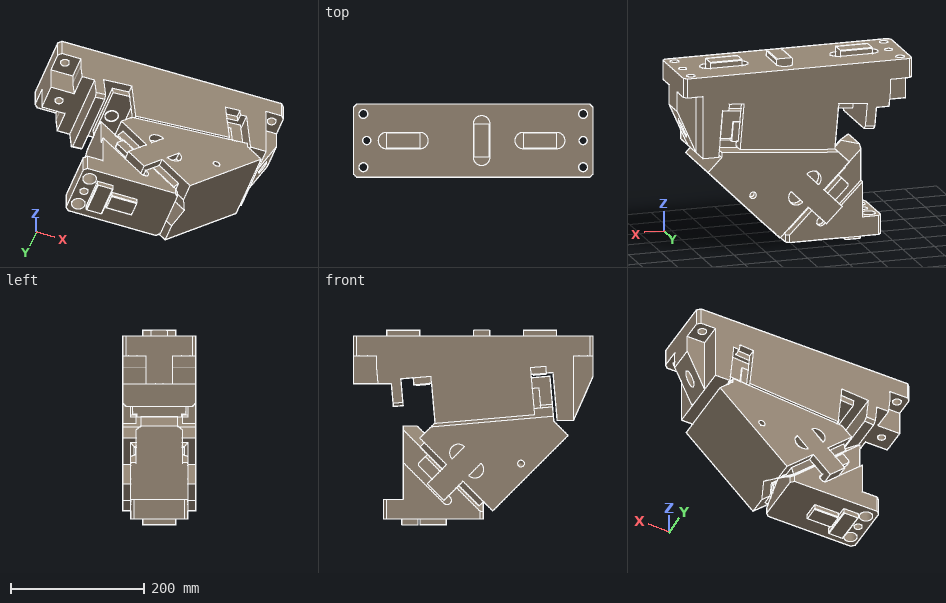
import cadquery as cq
import math


LENGTH = 360.0
WIDTH = 110.0
HALF_WIDTH = WIDTH / 2
KEY_RISE = 9.0
CORNER_CHAMFER = 5.0

HOLDER_TOP = 284.0
PLATE_THICKNESS = 30.0
PLATE_BOTTOM = HOLDER_TOP - PLATE_THICKNESS
BLOCK_LEFT = 35.0
BLOCK_BOTTOM = 212.0
BLOCK_RIGHT = 330.5
RIGHT_LEG_BOTTOM = 157.0
RIB_WIDTH = 40.5
GUSSET_SHOULDER = 223.5

TILT = math.radians(5)
FLANK_U = 55.5
HOOK_U = (75.2, 90.5)
SKIN_U = (135.5, 285.5)
CORE_U = (108.7, 308.5)
RIGHT_LEG_U = 318.2
HOOK_BOTTOM_V = 172.0
LIP_BOTTOM_V = 141.5
LIP_TOP_V = 151.0
SLOT_CEILING_V = 202.0
POCKET_CEILING_V = 212.5
SLOT_WIDTH = 85.5
LIP_OPENING = 69.0
GIB_U = (176.5, 295.5)
GIB_TOP_V = 181.0
PAD_DIAMETER = 20.0
PAD_THICKNESS = 1.5
PAD_U = (122.0, 298.8)

HEAD_U = (143.3, 313.5)
HEAD_TOP_V = 197.3
WING_BOTTOM_V = 154.8
SLIDE_TOP_V = 136.8
HEAD_WIDTH = 80.0
HEAD_STEP_WIDTH = 67.0
NECK_WIDTH = 55.5

HALF_ROOT = math.sqrt(0.5)
GROOVE_RISE = (119.5, 132.5)
EAVES_RISE = 149.5
RIDGE_RISE = 173.0
ROOF_HALF_ANGLE = math.radians(60)
ROOF_SLOPE = math.tan(ROOF_HALF_ANGLE)
RAIL_WIDTH = 85.5
RAIL_WEB_WIDTH = 69.0
WING_START_RUN = 3.5
WING_CORNER_CUT = 2.0
GROOVE_END_RUN = 73.0
SLIDE_BOTTOM_RISE = 163.0
SLIDE_NOSE_RISE = 323.3
SLIDE_RUN = (-22.0, 133.0)
RUNNER_RUN = (-12.2, 113.0)
RUNNER_INNER_Y = 6.0
RUNNER_CHAMFER = 1.5
CHANNEL_CLEARANCE = 3.5
ARM_RUN = (34.5, 70.0)
ARM_BOTTOM_RISE = 122.5
RECESS_RADIUS = 13.0
RECESS_DEPTH = 12.0
RECESS_RISE = 188.3
SIDE_HOLE_X = 251.5
SIDE_HOLE_Z = 92.5
SIDE_HOLE_DIAMETER = 10.0
SIDE_HOLE_DEPTH = 10.0
DRILL_TIP_SLOPE = math.radians(31)

BASE_X = (45.0, 195.0)
COLUMN_LEFT = 75.0
BASE_BOTTOM = KEY_RISE
FOOT_TOP = 39.0
COLUMN_TOP = 149.0
FOOT_HOLE_DIAMETER = 20.0
FOOT_HOLE_SPACING = 50.5

KEY_LENGTH = 50.0
KEY_WIDTH = 25.0
KEY_CHAMFER = 1.0
KEY_SLOT_LENGTH = 75.0
KEY_SLOT_DEPTH = 6.0
TOP_KEYS = ((75.0, 0), (192.5, 90), (280.0, 0))
CROSS_KEY_X = 85.0
LONG_KEY_X = 120.0
LONG_KEY_LENGTH = 40.0
BOLT_DIAMETER = 13.0
DOWEL_DIAMETER = 12.0
BOLT_INSET = 15.0
BOLT_SPACING = 80.0
LEFT_DOWEL_X = 20.0


LEVEL = cq.Plane(origin=(0, 0, 0), xDir=(1, 0, 0), normal=(0, -1, 0))
TILTED = cq.Plane(
    origin=(0, 0, 0),
    xDir=(math.cos(TILT), 0, math.sin(TILT)),
    normal=(0, -1, 0),
)
RAIL = cq.Plane(origin=(0, 0, 0), xDir=(HALF_ROOT, 0, -HALF_ROOT), normal=(0, -1, 0))


def tilted_point(u, v):
    """(x, z) of a point given in the tilted directions."""
    x = u * math.cos(TILT) - v * math.sin(TILT)
    z = u * math.sin(TILT) + v * math.cos(TILT)
    return (x, z)


def rail_point(run, rise):
    """(x, z) of a point given in the rail directions."""
    return ((run + rise) * HALF_ROOT, (rise - run) * HALF_ROOT)


def tilted_face_at_height(u, z):
    """Point at height z on the steep tilted face at distance u."""
    return ((u - z * math.sin(TILT)) / math.cos(TILT), z)


def tilted_face_at_x(u, x):
    """Point at position x on the steep tilted face at distance u."""
    return (x, (u - x * math.cos(TILT)) / math.sin(TILT))


def symmetric_prism(plane, points, width):
    """Prism of the given outline, centred on Y = 0."""
    return cq.Workplane(plane).polyline(points).close().extrude(width / 2, both=True)


def symmetric_bar(plane, along, across, width):
    """Bar spanning two (start, end) ranges in a plane, centred on Y = 0."""
    (a0, a1), (b0, b1) = along, across
    return symmetric_prism(plane, [(a0, b0), (a1, b0), (a1, b1), (a0, b1)], width)


def side_prism(plane, points, inner, outer):
    """Mirrored pair of prisms between the distances inner and outer from Y = 0."""
    one = cq.Workplane(plane).workplane(offset=inner).polyline(points).close().extrude(outer - inner)
    return one.union(one.mirror("XZ"))


def side_bar(plane, along, across, inner, outer):
    """Mirrored pair of bars spanning two (start, end) ranges in a plane."""
    (a0, a1), (b0, b1) = along, across
    return side_prism(plane, [(a0, b0), (a1, b0), (a1, b1), (a0, b1)], inner, outer)


def key(length, height):
    """Key standing on Z = 0 along X, with its long top edges chamfered."""
    block = cq.Workplane("XY").box(length, KEY_WIDTH, height, centered=(True, True, False))
    return block.faces(">Z").edges("|X").chamfer(KEY_CHAMFER)


def holder_plate():
    plate = cq.Workplane("XY").box(LENGTH, WIDTH, PLATE_THICKNESS, centered=(False, True, False))
    return plate.edges("|Z").chamfer(CORNER_CHAMFER).translate((0, 0, PLATE_BOTTOM))


def holder_block():
    outline = [
        (BLOCK_LEFT, PLATE_BOTTOM),
        tilted_face_at_x(FLANK_U, BLOCK_LEFT),
        tilted_face_at_height(FLANK_U, BLOCK_BOTTOM),
        tilted_face_at_height(HOOK_U[1], BLOCK_BOTTOM),
        tilted_point(HOOK_U[1], POCKET_CEILING_V),
        tilted_point(SKIN_U[0], POCKET_CEILING_V),
        tilted_point(SKIN_U[0], LIP_BOTTOM_V),
        tilted_point(SKIN_U[1], LIP_BOTTOM_V),
        tilted_point(SKIN_U[1], POCKET_CEILING_V),
        tilted_point(CORE_U[1], POCKET_CEILING_V),
        tilted_point(CORE_U[1], SLOT_CEILING_V),
        tilted_point(RIGHT_LEG_U, SLOT_CEILING_V),
        tilted_face_at_height(RIGHT_LEG_U, RIGHT_LEG_BOTTOM),
        (BLOCK_RIGHT, RIGHT_LEG_BOTTOM),
        (BLOCK_RIGHT, PLATE_BOTTOM),
    ]
    return symmetric_prism(LEVEL, outline, WIDTH)


def holder_hook():
    hook = symmetric_bar(TILTED, HOOK_U, (HOOK_BOTTOM_V, POCKET_CEILING_V), WIDTH)
    return hook.faces("<Z").edges("not |Y").chamfer(CORNER_CHAMFER)


def holder_ribs():
    left = symmetric_bar(LEVEL, (0, BLOCK_LEFT + 3.5), (BLOCK_BOTTOM, PLATE_BOTTOM), RIB_WIDTH)
    gusset = [
        (BLOCK_RIGHT, PLATE_BOTTOM),
        (LENGTH, PLATE_BOTTOM),
        (LENGTH, GUSSET_SHOULDER),
        (BLOCK_RIGHT, RIGHT_LEG_BOTTOM),
    ]
    return left.union(symmetric_prism(LEVEL, gusset, RIB_WIDTH))


def holder_guideway():
    """T-slot between the two skins of the holder, open at both ends."""
    slot = symmetric_bar(TILTED, SKIN_U, (LIP_TOP_V, SLOT_CEILING_V), SLOT_WIDTH)
    mouth = symmetric_bar(TILTED, SKIN_U, (LIP_BOTTOM_V, LIP_TOP_V), LIP_OPENING)
    return slot.union(mouth)


def holder_core():
    """Middle of the holder that reaches lower than the pockets in its two sides."""
    core = symmetric_bar(TILTED, CORE_U, (SLOT_CEILING_V, POCKET_CEILING_V), SLOT_WIDTH)
    ceiling = cq.Plane(
        origin=(0, 0, 0),
        xDir=TILTED.xDir.toTuple(),
        normal=TILTED.yDir.toTuple(),
    )
    pads = (
        cq.Workplane(ceiling)
        .workplane(offset=SLOT_CEILING_V - PAD_THICKNESS)
        .pushPoints([(u, 0) for u in PAD_U])
        .circle(PAD_DIAMETER / 2)
        .extrude(PAD_THICKNESS)
    )
    return core.union(pads)


def holder_gibs():
    """L-shaped liners that fill the slot beside and below the head of the slide."""
    wall = side_bar(TILTED, GIB_U, (LIP_TOP_V, GIB_TOP_V), HEAD_WIDTH / 2, SLOT_WIDTH / 2)
    ledge = side_bar(TILTED, GIB_U, (LIP_TOP_V, WING_BOTTOM_V), LIP_OPENING / 2, SLOT_WIDTH / 2)
    return wall.union(ledge)


def plate_holes():
    right_x = LENGTH - BOLT_INSET
    bolts = [(x, y) for x in (BOLT_INSET, right_x) for y in (-BOLT_SPACING / 2, BOLT_SPACING / 2)]
    dowels = [(LEFT_DOWEL_X, 0), (right_x, 0)]
    start = cq.Workplane("XY").workplane(offset=RIGHT_LEG_BOTTOM)
    depth = HOLDER_TOP - RIGHT_LEG_BOTTOM
    drilled = start.pushPoints(bolts).circle(BOLT_DIAMETER / 2).extrude(depth)
    return drilled.union(start.pushPoints(dowels).circle(DOWEL_DIAMETER / 2).extrude(depth))


def make_holder():
    body = holder_plate().union(holder_block()).union(holder_hook()).union(holder_ribs())
    body = body.cut(holder_guideway()).union(holder_core()).union(holder_gibs())
    body = body.cut(plate_holes())
    for x, angle in TOP_KEYS:
        place = cq.Location(cq.Vector(x, 0, HOLDER_TOP - KEY_SLOT_DEPTH), cq.Vector(0, 0, 1), angle)
        slot = cq.Workplane("XY").slot2D(KEY_SLOT_LENGTH, KEY_WIDTH).extrude(KEY_SLOT_DEPTH)
        body = body.cut(slot.val().moved(place))
        body = body.union(cq.Workplane(key(KEY_LENGTH, KEY_SLOT_DEPTH + KEY_RISE).val().moved(place)))
    return body


def roof_half_width(rise):
    """Half width of the V-shaped roof of the rail at a given rise."""
    return RAIL_WIDTH / 2 - (rise - EAVES_RISE) * ROOF_SLOPE


def roof_rise(y):
    """Rise of the extended roof face at the distance y from the plane of symmetry."""
    return EAVES_RISE + (RAIL_WIDTH / 2 - y) / ROOF_SLOPE


def rail_section(points, run):
    """Prism along the rail of a (y, rise) cross-section, over a (start, end) range of run."""
    start = cq.Plane(
        origin=(run[0] * HALF_ROOT, 0, -run[0] * HALF_ROOT),
        xDir=(0, 1, 0),
        normal=(HALF_ROOT, 0, -HALF_ROOT),
    )
    return cq.Workplane(start).polyline(points).close().extrude(run[1] - run[0])


def rail_envelope():
    """Everything under the roof of the rail, down past Z = 0."""
    ridge = roof_half_width(RIDGE_RISE)
    eaves = RAIL_WIDTH / 2
    section = [
        (-eaves, -LENGTH),
        (eaves, -LENGTH),
        (eaves, EAVES_RISE),
        (ridge, RIDGE_RISE),
        (-ridge, RIDGE_RISE),
        (-eaves, EAVES_RISE),
    ]
    return rail_section(section, (-LENGTH, LENGTH))


def base_block():
    outline = [
        (BASE_X[0], BASE_BOTTOM),
        (BASE_X[1], BASE_BOTTOM),
        (BASE_X[1], COLUMN_TOP),
        (COLUMN_LEFT, COLUMN_TOP),
        (COLUMN_LEFT, FOOT_TOP),
        (BASE_X[0], FOOT_TOP),
    ]
    block = symmetric_prism(LEVEL, outline, RAIL_WIDTH)
    block = block.edges("|Z and (<X or >X)").chamfer(CORNER_CHAMFER)
    return block.intersect(rail_envelope())


def rail_side_cuts():
    """Round-ended grooves for the arms of the slide, and the run-in above them."""
    inner = RAIL_WEB_WIDTH / 2
    outer = RAIL_WIDTH / 2
    low, high = GROOVE_RISE
    groove = (
        cq.Workplane(RAIL)
        .workplane(offset=inner)
        .moveTo(-LENGTH, low)
        .lineTo(GROOVE_END_RUN, low)
        .threePointArc((GROOVE_END_RUN + (high - low) / 2, (low + high) / 2), (GROOVE_END_RUN, high))
        .lineTo(WING_START_RUN + WING_CORNER_CUT, high)
        .lineTo(WING_START_RUN, high + WING_CORNER_CUT)
        .lineTo(WING_START_RUN, RIDGE_RISE)
        .lineTo(-LENGTH, RIDGE_RISE)
        .close()
        .extrude(outer - inner)
    )
    return groove.union(groove.mirror("XZ"))


def foot_holes():
    x = (BASE_X[0] + COLUMN_LEFT) / 2
    start = cq.Workplane("XY").workplane(offset=BASE_BOTTOM)
    depth = FOOT_TOP - BASE_BOTTOM
    bolts = [(x, -FOOT_HOLE_SPACING / 2), (x, FOOT_HOLE_SPACING / 2)]
    drilled = start.pushPoints(bolts).circle(FOOT_HOLE_DIAMETER / 2).extrude(depth)
    return drilled.union(start.center(x, 0).circle(DOWEL_DIAMETER / 2).extrude(depth))


def base_keys():
    cross = key(KEY_LENGTH, KEY_RISE).rotate((0, 0, 0), (0, 0, 1), 90).translate((CROSS_KEY_X, 0, 0))
    long = key(LONG_KEY_LENGTH, KEY_RISE).translate((LONG_KEY_X, 0, 0))
    return cross.union(long).mirror("XY").translate((0, 0, KEY_RISE))


def make_base():
    return base_block().cut(rail_side_cuts()).cut(foot_holes()).union(base_keys())


def slide_end_at_height(v):
    """Point on the upper 45-degree end face of the slide at the tilted height v."""
    run = SLIDE_RUN[0]
    rise = (v / HALF_ROOT + run * (math.cos(TILT) + math.sin(TILT))) / (math.cos(TILT) - math.sin(TILT))
    return rail_point(run, rise)


def slide_nose_at(u):
    """Point on the sloping nose of the slide at the tilted distance u."""
    rise = SLIDE_NOSE_RISE
    run = (u / HALF_ROOT - rise * (math.cos(TILT) + math.sin(TILT))) / (math.cos(TILT) - math.sin(TILT))
    return rail_point(run, rise)


def slide_body():
    outline = [
        rail_point(SLIDE_RUN[0], SLIDE_BOTTOM_RISE),
        rail_point(SLIDE_RUN[1], SLIDE_BOTTOM_RISE),
        rail_point(SLIDE_RUN[1], SLIDE_NOSE_RISE),
        slide_nose_at(HEAD_U[1]),
        tilted_point(HEAD_U[1], SLIDE_TOP_V),
        slide_end_at_height(SLIDE_TOP_V),
    ]
    return symmetric_prism(LEVEL, outline, WIDTH)


def slide_head():
    """T-shaped head and its neck, which run in the slot of the holder."""
    neck_outline = [
        slide_end_at_height(SLIDE_TOP_V),
        tilted_point(HEAD_U[1], SLIDE_TOP_V),
        tilted_point(HEAD_U[1], LIP_TOP_V),
        slide_end_at_height(LIP_TOP_V),
    ]
    neck = symmetric_prism(LEVEL, neck_outline, NECK_WIDTH)
    step = symmetric_bar(TILTED, HEAD_U, (LIP_TOP_V, WING_BOTTOM_V), HEAD_STEP_WIDTH)
    head = symmetric_bar(TILTED, HEAD_U, (WING_BOTTOM_V, HEAD_TOP_V), HEAD_WIDTH)
    return neck.union(step).union(head)


def slide_channel():
    """V-shaped channel along the slide, parallel to the rail roof and clear of it."""
    eaves = RAIL_WIDTH / 2
    lift = CHANNEL_CLEARANCE / math.sin(ROOF_HALF_ANGLE)
    section = [(-eaves, roof_rise(eaves) + lift), (eaves, roof_rise(eaves) + lift), (0, roof_rise(0) + lift)]
    return rail_section(section, SLIDE_RUN)


def slide_runners():
    """Two bars that bear on the rail roof, with flanks square to it and chamfered feet."""
    outer = RAIL_WIDTH / 2
    foot_rise = (SLIDE_BOTTOM_RISE + EAVES_RISE * ROOF_SLOPE**2) / (1 + ROOF_SLOPE**2)
    inner_rise = roof_rise(RUNNER_INNER_Y)
    section = [
        (outer, SLIDE_BOTTOM_RISE),
        (roof_half_width(foot_rise), foot_rise),
        (RUNNER_INNER_Y, inner_rise),
        (
            RUNNER_INNER_Y + CHANNEL_CLEARANCE * math.cos(ROOF_HALF_ANGLE),
            inner_rise + CHANNEL_CLEARANCE * math.sin(ROOF_HALF_ANGLE),
        ),
        (
            roof_half_width(SLIDE_BOTTOM_RISE) + CHANNEL_CLEARANCE / math.cos(ROOF_HALF_ANGLE),
            SLIDE_BOTTOM_RISE,
        ),
    ]
    toward_roof = cq.Vector(
        -HALF_ROOT * math.sin(ROOF_HALF_ANGLE),
        -math.cos(ROOF_HALF_ANGLE),
        -HALF_ROOT * math.sin(ROOF_HALF_ANGLE),
    )
    bar = rail_section(section, RUNNER_RUN)
    bar = bar.faces(cq.DirectionMinMaxSelector(toward_roof)).edges().chamfer(RUNNER_CHAMFER)
    return bar.union(bar.mirror("XZ"))


def slide_arms():
    """Two arms that reach down beside the rail and hook into its grooves."""
    plate = side_bar(RAIL, ARM_RUN, (ARM_BOTTOM_RISE, SLIDE_BOTTOM_RISE), RAIL_WIDTH / 2, HALF_WIDTH)
    hook = side_bar(RAIL, ARM_RUN, (ARM_BOTTOM_RISE, GROOVE_RISE[1]), RAIL_WEB_WIDTH / 2, RAIL_WIDTH / 2)
    return plate.union(hook)


def arm_recesses():
    """Half-round recesses along both edges of the arms."""
    disc = (
        cq.Workplane(RAIL)
        .workplane(offset=HALF_WIDTH - RECESS_DEPTH)
        .pushPoints([(run, RECESS_RISE) for run in ARM_RUN])
        .circle(RECESS_RADIUS)
        .extrude(RECESS_DEPTH)
    )
    disc = disc.cut(symmetric_bar(RAIL, ARM_RUN, (0, LENGTH), WIDTH))
    return disc.union(disc.mirror("XZ"))


def side_holes():
    """Blind holes with conical ends in both sides."""
    radius = SIDE_HOLE_DIAMETER / 2
    tip = SIDE_HOLE_DEPTH + radius * math.tan(DRILL_TIP_SLOPE)
    profile = [(0, 0), (radius, 0), (radius, SIDE_HOLE_DEPTH), (0, tip)]
    hole = cq.Workplane("XY").polyline(profile).close().revolve(360, (0, 0, 0), (0, 1, 0))
    hole = hole.translate((SIDE_HOLE_X, -HALF_WIDTH, SIDE_HOLE_Z))
    return hole.union(hole.mirror("XZ"))


def make_slide():
    body = slide_body().cut(slide_channel()).union(slide_head())
    body = body.union(slide_runners()).union(slide_arms())
    return body.cut(arm_recesses()).cut(side_holes())


holder = make_holder()
base = make_base()
slide = make_slide()
result = cq.Compound.makeCompound([holder.val(), base.val(), slide.val()])